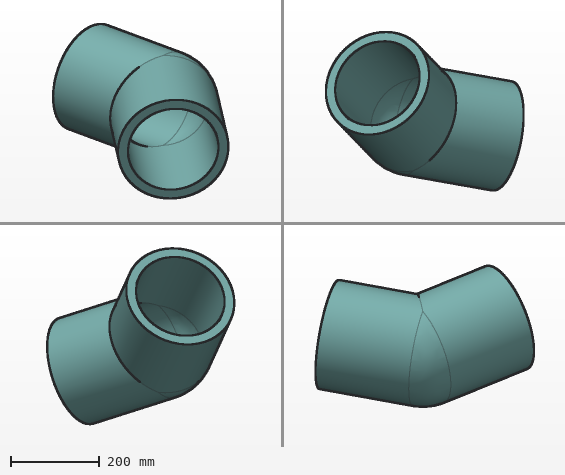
import cadquery as cq
import math

overall_length = 459.0
outer_diameter = 250.0
bore_diameter = 204.5
bend_angle = 45.0

bend = math.radians(bend_angle)
end_overhang = outer_diameter / 2 * math.sin(bend)
leg_length = (overall_length - end_overhang) / (1 + math.cos(bend))


def leg(diameter, direction):
    """Cylinder running from the axis intersection (the origin) along direction."""
    return cq.Workplane(
        cq.Solid.makeCylinder(diameter / 2, leg_length, cq.Vector(0, 0, 0), direction)
    )


def elbow(diameter):
    """Solid elbow: both legs joined by a ball that rounds the outer corner."""
    inlet_direction = cq.Vector(-1, 0, 0)
    outlet_direction = cq.Vector(math.cos(bend), -math.sin(bend), 0)
    ball = cq.Workplane("XY").sphere(diameter / 2)
    return leg(diameter, inlet_direction).union(leg(diameter, outlet_direction)).union(ball)


result = elbow(outer_diameter).cut(elbow(bore_diameter))